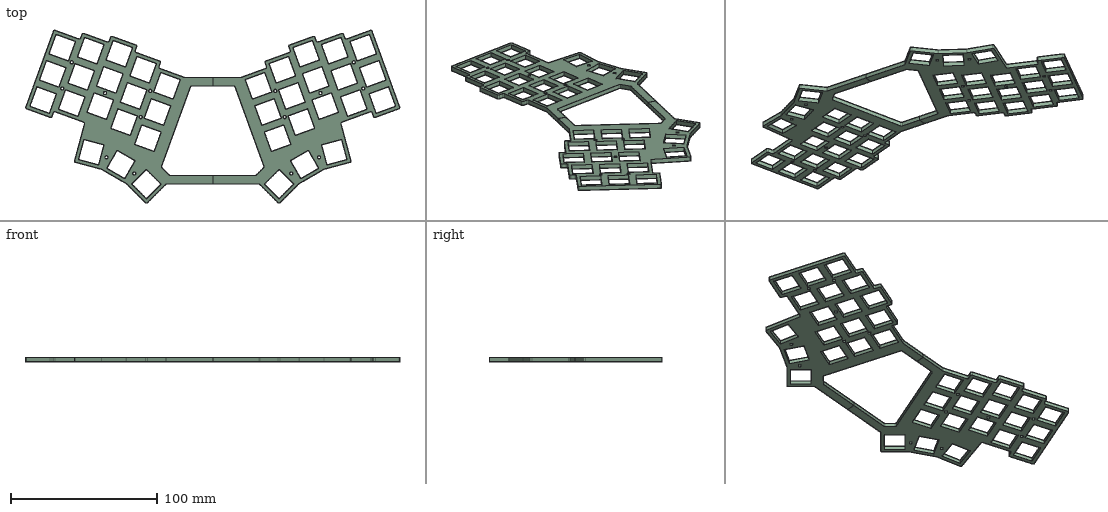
import cadquery as cq
import math


total_width = 255.6
thickness = 3.0
cutout_size = 14.0
corner_radius = 1.0
frame_width = 6.0
screw_diameter = 2.0

grid_tilt = 20.0
column_count = 5
rows = (1, 0, -1)
column_length = 38.0
outer_stagger = 9.5
grid_center_y = 25.3

thumb_tilts = (15.0, 30.0, 45.0)
thumb_radius = 84.0
thumb_center_x = -104.8
thumb_center_y = -105.3

key_pitch = column_length / (len(rows) - 1)
half_cell = key_pitch / 2
middle_column = column_count // 2
stagger_step = outer_stagger / middle_column


def turned(point, tilt, origin=(0.0, 0.0)):
    """Place a local (across, along) point of a frame turned clockwise by tilt degrees."""
    across, along = point
    c = math.cos(math.radians(tilt))
    s = math.sin(math.radians(tilt))
    return (origin[0] + across * c + along * s, origin[1] - across * s + along * c)


def key_local(column, row):
    """Key centre in the tilted grid, measured from the middle key of the middle column."""
    offset = column - middle_column
    return (offset * key_pitch, row * key_pitch - abs(offset) * stagger_step)


corner_across, corner_along = key_local(0, -1)
rounding_inset = half_cell - corner_radius
rounding_center = turned((corner_across - rounding_inset, corner_along - rounding_inset), grid_tilt)
grid_center = (corner_radius - total_width / 2 - rounding_center[0], grid_center_y)
thumb_center = (thumb_center_x, thumb_center_y)


def grid_point(across, along):
    return turned((across, along), grid_tilt, grid_center)


def thumb_point(tilt, across=0.0, along=0.0):
    """Point given from the thumb key at this tilt; along points away from the arc centre."""
    return turned((across, thumb_radius + along), tilt, thumb_center)


def meet(point_a, point_b, point_c, point_d):
    """Intersection of line AB with line CD."""
    ab = (point_b[0] - point_a[0], point_b[1] - point_a[1])
    cd = (point_d[0] - point_c[0], point_d[1] - point_c[1])
    ac = (point_c[0] - point_a[0], point_c[1] - point_a[1])
    t = (ac[0] * cd[1] - ac[1] * cd[0]) / (ab[0] * cd[1] - ab[1] * cd[0])
    return (point_a[0] + t * ab[0], point_a[1] + t * ab[1])


def level_meet(point_a, point_b, y):
    """Intersection of line AB with the horizontal line at height y."""
    return meet(point_a, point_b, (0.0, y), (1.0, y))


def left_side(column):
    return key_local(column, 0)[0] - half_cell


def right_side(column):
    return key_local(column, 0)[0] + half_cell


def top_side(column):
    return key_local(column, 1)[1] + half_cell


def bottom_side(column):
    return key_local(column, -1)[1] - half_cell


def top_steps():
    """Stepped upper edge from the first column to the last."""
    points = [grid_point(left_side(0), top_side(0))]
    for column in range(column_count - 1):
        step = right_side(column)
        points.append(grid_point(step, top_side(column)))
        points.append(grid_point(step, top_side(column + 1)))
    points.append(grid_point(right_side(column_count - 1), top_side(column_count - 1)))
    return points


def inner_edge(upper_y, lower_y):
    """Edge of the central window, from the upper bridge round to the lower bridge."""
    side = right_side(column_count - 1) + frame_width
    side_top = grid_point(side, 0)
    side_bottom = grid_point(side, -key_pitch)
    last_tilt = thumb_tilts[-1]
    shoulder = half_cell + frame_width
    shoulder_left = thumb_point(last_tilt, across=-half_cell, along=shoulder)
    shoulder_right = thumb_point(last_tilt, across=half_cell, along=shoulder)
    return [
        (0.0, upper_y),
        level_meet(side_top, side_bottom, upper_y),
        meet(side_top, side_bottom, shoulder_left, shoulder_right),
        level_meet(shoulder_left, shoulder_right, lower_y),
        (0.0, lower_y),
    ]


def thumb_edge():
    """Lower edge round the thumb fan, from the last thumb key back to the first."""
    last_tilt = thumb_tilts[-1]
    points = [
        thumb_point(last_tilt, across=half_cell, along=half_cell),
        thumb_point(last_tilt, across=half_cell, along=-half_cell),
    ]
    for tilt, next_tilt in zip(thumb_tilts[-2::-1], thumb_tilts[:0:-1]):
        half_step = math.radians(next_tilt - tilt) / 2
        shared_across = (thumb_radius - half_cell) * math.tan(half_step)
        points.append(thumb_point(tilt, across=shared_across, along=-half_cell))
    points.append(thumb_point(thumb_tilts[0], across=-half_cell, along=-half_cell))
    return points


def finger_bottom_edge():
    """Edge from the first thumb key up to the second column, then round the first column."""
    step = right_side(0)
    second_left = grid_point(step, bottom_side(1))
    second_right = grid_point(right_side(1), bottom_side(1))
    thumb_low = thumb_point(thumb_tilts[0], across=-half_cell, along=-half_cell)
    thumb_high = thumb_point(thumb_tilts[0], across=-half_cell, along=half_cell)
    return [
        meet(second_left, second_right, thumb_low, thumb_high),
        second_left,
        grid_point(step, bottom_side(0)),
        grid_point(left_side(0), bottom_side(0)),
    ]


def plate_outline():
    top = top_steps()
    thumb = thumb_edge()
    bridge_top = top[-1][1]
    bridge_bottom = thumb[0][1]
    window = inner_edge(bridge_top - frame_width, bridge_bottom + frame_width)
    return [
        *top,
        (0.0, bridge_top),
        *window,
        (0.0, bridge_bottom),
        *thumb,
        *finger_bottom_edge(),
    ]


def switch_opening(center, tilt):
    return (
        cq.Workplane("XY")
        .rect(cutout_size, cutout_size)
        .extrude(thickness)
        .rotate((0, 0, 0), (0, 0, 1), -tilt)
        .translate((*center, 0))
    )


def screw_centers():
    """Screw holes lie midway between neighbouring keys."""
    outer_gap = middle_column - 0.5
    gap_along = -(outer_stagger + stagger_step) / 2
    centers = [
        grid_point(side * outer_gap * key_pitch, gap_along + row * key_pitch / 2)
        for side in (-1, 1)
        for row in (1, -1)
    ]
    centers.append(grid_point(0, -key_pitch / 2))
    for tilt, next_tilt in zip(thumb_tilts, thumb_tilts[1:]):
        centers.append(thumb_point((tilt + next_tilt) / 2))
    return centers


def make_left_plate():
    plate = cq.Workplane("XY").polyline(plate_outline()).close().extrude(thickness)
    plate = plate.edges("|Z and (not >X)").fillet(corner_radius)
    for column in range(column_count):
        for row in rows:
            plate = plate.cut(switch_opening(grid_point(*key_local(column, row)), grid_tilt))
    for tilt in thumb_tilts:
        plate = plate.cut(switch_opening(thumb_point(tilt), tilt))
    screws = cq.Workplane("XY").pushPoints(screw_centers()).circle(screw_diameter / 2).extrude(thickness)
    return plate.cut(screws)


left_plate = make_left_plate()
right_plate = left_plate.mirror("YZ")

result = cq.Compound.makeCompound([left_plate.val(), right_plate.val()])